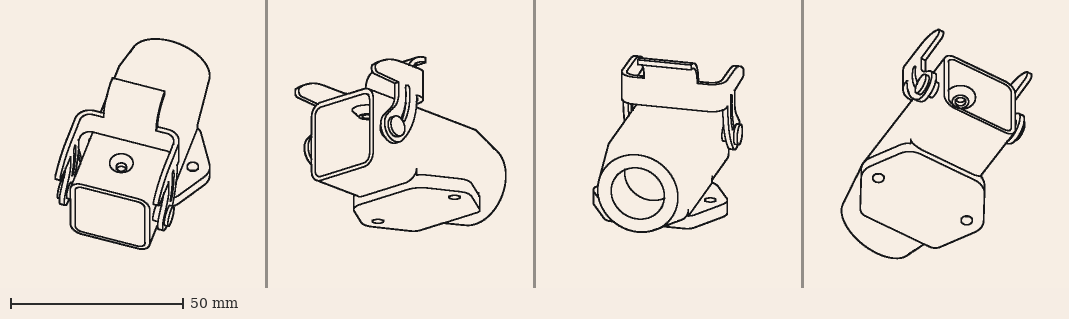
import cadquery as cq
import math


body_width = 24.2
body_half = body_width / 2
body_bottom = 2.3
body_mid_z = body_bottom + body_half
body_top = body_bottom + body_width
body_corner_radius = 3.65
body_length = 57.5
transition_start = 46.05
tangent_offset = body_half - body_corner_radius

mouth_width = 21.35
mouth_height = 21.45
cavity_end_width = 20.2
cavity_end_height = 21.15
cavity_floor = 3.5
cavity_depth = 42.4
cavity_corner_radius = 2.3
cable_bore_diameter = 16.0

screw_y = 10.85
screw_diameter = 3.0
countersink_diameter = 6.85
countersink_angle = 90.0
boss_tip_diameter = 4.8
boss_tip_z = 22.9
boss_overlap = 0.6

flange_y = 32.0
flange_thickness = 4.0
flange_half_length = 13.95
flange_side_angle = math.radians(30)
flange_hole_x = 15.0
flange_hole_diameter = 3.3
flange_tip_radius = 4.95
flange_front_radius = 6.0
flange_rear_radius = 3.0

pin_y = 5.45
pin_z = body_mid_z
pin_diameter = 4.8
pin_head_diameter = 6.0
pin_head_height = 1.1
pin_root_x = 11.2

grip_width = 16.0
grip_radius = 8.4
grip_top = 43.7

lever_top = grip_top - grip_radius
sheet = 1.5
lever_width = 31.5
lever_half = lever_width / 2
lever_back_y = 20.35
lever_bend_radius = 4.5
lever_bottom = 26.8
arm_back_y = 14.85
arm_front_y = 6.95
arm_back_radius = 20.25
arm_front_radius = 6.0
eye_radius = 4.55
nose_root_z = 28.65
nose_tip_y = -3.1
nose_tip_top_z = 31.4
nose_tip_bottom_z = 29.3
nose_tip_radius = 1.2
nose_arc_start_y = 7.3
arm_slot_width = 1.65
arm_slot_radius = 16.4
arm_slot_top_angle = math.radians(7.7)
arm_slot_bottom_angle = math.radians(-28)

arm_centre_y = arm_back_y - arm_back_radius
arm_back_bend_y = arm_centre_y + arm_back_radius * math.sqrt(0.5)
arm_back_bend = (arm_back_bend_y, pin_z - eye_radius * math.sqrt(2) + arm_back_bend_y - pin_y)
arm_centre = (arm_centre_y, arm_back_bend[1] + arm_back_radius * math.sqrt(0.5))


def polar(centre, radius, angle):
    """Point at an angle on a circle."""
    return (centre[0] + radius * math.cos(angle), centre[1] + radius * math.sin(angle))


def cylinder_y(diameter, start, end, z):
    """Round bar along Y."""
    plane = cq.Workplane("XZ", origin=(0, start, z))
    return plane.circle(diameter / 2).extrude(start - end)


def make_transition():
    """Rounded square that becomes a full circle: flat triangles joined by oblique cone faces."""

    def point(radius, centre, angle, y):
        u, v = polar(centre, radius, angle)
        return cq.Vector(u, y, body_mid_z + v)

    square_edges, circle_edges, faces = [], [], []
    for quarter in range(4):
        start = quarter * math.pi / 2
        middle = start + math.pi / 4
        end = start + math.pi / 2
        corner = polar((0, 0), tangent_offset * math.sqrt(2), middle)
        square_arc = cq.Edge.makeThreePointArc(
            *[point(body_corner_radius, corner, a, transition_start) for a in (start, middle, end)]
        )
        circle_arc = cq.Edge.makeThreePointArc(
            *[point(body_half, (0, 0), a, body_length) for a in (start, middle, end)]
        )
        next_corner = polar((0, 0), tangent_offset * math.sqrt(2), middle + math.pi / 2)
        flat_start = square_arc.endPoint()
        flat_end = point(body_corner_radius, next_corner, end, transition_start)
        triangle = cq.Wire.makePolygon([flat_start, flat_end, circle_arc.endPoint()], close=True)
        faces.append(cq.Face.makeRuledSurface(square_arc, circle_arc))
        faces.append(cq.Face.makeFromWires(triangle))
        square_edges += [square_arc, cq.Edge.makeLine(flat_start, flat_end)]
        circle_edges.append(circle_arc)
    for edges in (square_edges, circle_edges):
        faces.append(cq.Face.makeFromWires(cq.Wire.assembleEdges(edges)))
    shell = cq.Shell.makeShell(faces)
    return cq.Workplane(obj=cq.Solid.makeSolid(shell).fix())


def make_housing():
    """Square tube blank with its round cable end."""
    blank = (
        cq.Workplane("XY")
        .box(body_width, transition_start, body_width, centered=(True, False, False))
        .translate((0, 0, body_bottom))
        .edges("|Y")
        .fillet(body_corner_radius)
    )
    return blank.union(make_transition())


def make_cavity():
    """Tapered socket with a flat floor, and the bore through the cable end."""

    def section(width, height, y):
        sketch = cq.Sketch().rect(width, height).vertices().fillet(cavity_corner_radius)
        return sketch.moved(cq.Location(cq.Vector(0, cavity_floor + height / 2, -y)))

    socket = (
        cq.Workplane("XZ")
        .placeSketch(
            section(mouth_width, mouth_height, 0),
            section(cavity_end_width, cavity_end_height, cavity_depth),
        )
        .loft()
    )
    return socket.union(cylinder_y(cable_bore_diameter, cavity_depth, body_length, body_mid_z))


def make_screw_boss():
    """45 degree cone hanging from the roof."""
    tip_radius = boss_tip_diameter / 2
    root_z = cavity_floor + mouth_height + boss_overlap
    root_radius = tip_radius + root_z - boss_tip_z
    outline = [(0, boss_tip_z), (tip_radius, boss_tip_z), (root_radius, root_z), (0, root_z)]
    cone = cq.Workplane("XZ").polyline(outline).close().revolve(360, (0, 0), (0, 1))
    return cone.translate((0, screw_y, 0))


def make_flange():
    """Hexagonal mounting plate with a pedestal that squares off the housing underside."""
    side_distance = flange_hole_x * math.cos(flange_side_angle) + flange_tip_radius
    tip_x = side_distance / math.cos(flange_side_angle)
    end_x = tip_x - flange_half_length * math.tan(flange_side_angle)
    outline = [
        (tip_x, 0),
        (end_x, flange_half_length),
        (-end_x, flange_half_length),
        (-tip_x, 0),
        (-end_x, -flange_half_length),
        (end_x, -flange_half_length),
    ]

    def plate(height):
        blank = cq.Workplane("XY").polyline(outline).close().extrude(height)
        blank = blank.edges("|Z").edges("<X or >X").fillet(flange_tip_radius)
        blank = blank.edges("|Z").edges(">Y").fillet(flange_rear_radius)
        return blank.edges("|Z").edges("<Y").fillet(flange_front_radius)

    pedestal_height = body_bottom + body_corner_radius
    pedestal = plate(pedestal_height).intersect(
        cq.Workplane("XY").box(body_width, 2 * flange_half_length, 2 * pedestal_height)
    )
    flange = plate(flange_thickness)
    flange = flange.cut(
        cq.Workplane("XY")
        .pushPoints([(-flange_hole_x, 0), (flange_hole_x, 0)])
        .circle(flange_hole_diameter / 2)
        .extrude(flange_thickness)
    )
    return flange.union(pedestal).translate((0, flange_y, 0))


def make_pin():
    """Headed pivot pin on the +X side."""
    shank = cq.Workplane("YZ", origin=(pin_root_x, pin_y, pin_z)).circle(pin_diameter / 2)
    head = cq.Workplane("YZ", origin=(lever_half, pin_y, pin_z)).circle(pin_head_diameter / 2)
    return shank.extrude(lever_half - pin_root_x).union(head.extrude(pin_head_height))


def make_lever_profile():
    """Solid side profile of the lever across its full width: back band, nose, arm and pivot eye."""
    eye = (pin_y, pin_z)
    eye_back = polar(eye, eye_radius, -math.pi / 4)
    eye_low = polar(eye, eye_radius, -3 * math.pi / 4)
    eye_front = polar(eye, eye_radius, 3 * math.pi / 4)

    front_bend_y = arm_front_y - arm_front_radius * (1 - math.sqrt(0.5))
    front_bend = (front_bend_y, eye_front[1] + front_bend_y - eye_front[0])
    front_centre = (arm_front_y - arm_front_radius, front_bend[1] + arm_front_radius * math.sqrt(0.5))

    nose_run = nose_arc_start_y - nose_tip_y
    nose_drop = lever_top - nose_tip_top_z
    nose_radius = (nose_run**2 + nose_drop**2) / (2 * nose_drop)
    nose_centre = (nose_arc_start_y, lever_top - nose_radius)
    nose_middle = math.pi / 2 + math.asin(nose_run / nose_radius) / 2

    profile = (
        cq.Workplane("YZ", origin=(-lever_half, 0, 0))
        .moveTo(lever_back_y, lever_top)
        .lineTo(lever_back_y, lever_bottom)
        .lineTo(arm_back_y, lever_bottom)
        .lineTo(arm_back_y, arm_centre[1])
        .threePointArc(polar(arm_centre, arm_back_radius, -math.pi / 8), arm_back_bend)
        .lineTo(*eye_back)
        .threePointArc(eye_low, eye_front)
        .lineTo(*front_bend)
        .threePointArc(
            polar(front_centre, arm_front_radius, -math.pi / 8),
            (arm_front_y, front_centre[1]),
        )
        .lineTo(arm_front_y, nose_root_z)
        .lineTo(nose_tip_y, nose_tip_bottom_z)
        .lineTo(nose_tip_y, nose_tip_top_z)
        .threePointArc(polar(nose_centre, nose_radius, nose_middle), (nose_arc_start_y, lever_top))
        .close()
        .extrude(lever_width)
    )
    return profile.faces("<Y").edges("|X").fillet(nose_tip_radius)


def make_arm_slots():
    """Round-ended curved slots through both arms, concentric with the back edge of the arm."""
    outer_radius = arm_slot_radius + arm_slot_width / 2
    inner_radius = arm_slot_radius - arm_slot_width / 2
    middle_angle = (arm_slot_top_angle + arm_slot_bottom_angle) / 2
    outer_top, outer_middle, outer_bottom = [
        polar(arm_centre, outer_radius, angle)
        for angle in (arm_slot_top_angle, middle_angle, arm_slot_bottom_angle)
    ]
    inner_top, inner_middle, inner_bottom = [
        polar(arm_centre, inner_radius, angle)
        for angle in (arm_slot_top_angle, middle_angle, arm_slot_bottom_angle)
    ]
    return (
        cq.Workplane("YZ", origin=(-lever_half, 0, 0))
        .moveTo(*outer_top)
        .threePointArc(outer_middle, outer_bottom)
        .tangentArcPoint(inner_bottom, relative=False)
        .threePointArc(inner_middle, inner_top)
        .tangentArcPoint(outer_top, relative=False)
        .close()
        .extrude(lever_width)
    )


def make_lever():
    """Bent sheet yoke: the side profile, kept only where the U of sheet runs."""

    def yoke_block(width, back_y, bend_radius):
        length = back_y - nose_tip_y
        block = cq.Workplane("XY").box(width, length, lever_top, centered=(True, False, False))
        return block.translate((0, nose_tip_y, 0)).edges("|Z and >Y").fillet(bend_radius)

    outer = yoke_block(lever_width, lever_back_y, lever_bend_radius)
    inner = yoke_block(lever_width - 2 * sheet, lever_back_y - sheet, lever_bend_radius - sheet)
    return make_lever_profile().cut(make_arm_slots()).intersect(outer.cut(inner))


def make_grip():
    """Quarter-round finger tab rising from the back of the lever and curling towards the cable end."""
    base_y = lever_back_y - sheet
    centre = (base_y + grip_radius, lever_top)
    inner_radius = grip_radius - sheet
    middle = 3 * math.pi / 4
    return (
        cq.Workplane("YZ", origin=(-grip_width / 2, 0, 0))
        .moveTo(base_y, lever_bottom)
        .lineTo(base_y, lever_top)
        .threePointArc(polar(centre, grip_radius, middle), (centre[0], grip_top))
        .lineTo(centre[0], grip_top - sheet)
        .threePointArc(polar(centre, inner_radius, middle), (lever_back_y, lever_top))
        .lineTo(lever_back_y, lever_bottom)
        .close()
        .extrude(grip_width)
    )


housing = make_housing().union(make_flange()).cut(make_cavity()).union(make_screw_boss())
housing = (
    housing.faces(">Z")
    .workplane(origin=(0, screw_y, body_top))
    .cskHole(screw_diameter, countersink_diameter, countersink_angle, depth=body_top - boss_tip_z)
)

pin = make_pin()
pins = pin.union(pin.mirror("YZ"))

result = housing.union(pins).union(make_lever()).union(make_grip())